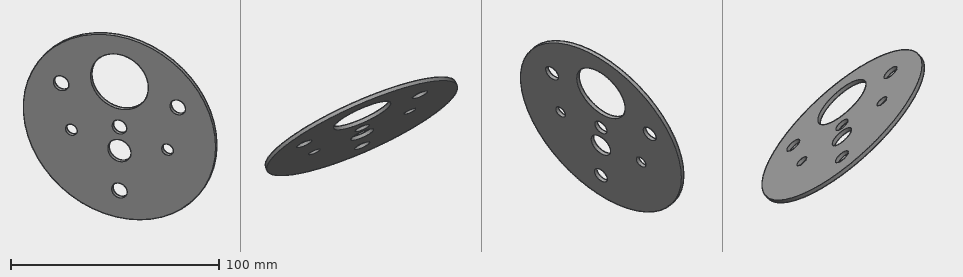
import cadquery as cq

disc_diameter = 100
thickness = 2

centre_hole_diameter = 7.5
window_diameter = 30
window_height = disc_diameter / 4
lower_hole_diameter = 12
lower_hole_drop = 13

mount_hole_diameter = 8
mount_circle_radius = 35
mount_hole_count = 3
first_mount_angle = -90

side_hole_diameter = 6
side_hole_offset = disc_diameter / 4
side_hole_drop = 7


def cut_holes(plate, diameter, centres):
    """Cut round through holes at the given (x, z) centres."""
    return plate.faces("<Y").workplane(origin=(0, 0, 0)).pushPoints(centres).hole(diameter)


plate = cq.Workplane("XZ").circle(disc_diameter / 2).extrude(thickness)

plate = cut_holes(plate, centre_hole_diameter, [(0, 0)])
plate = cut_holes(plate, window_diameter, [(0, window_height)])
plate = cut_holes(plate, lower_hole_diameter, [(0, -lower_hole_drop)])
plate = cut_holes(
    plate,
    side_hole_diameter,
    [(side * side_hole_offset, -side_hole_drop) for side in (-1, 1)],
)

result = (
    plate.faces("<Y")
    .workplane(origin=(0, 0, 0))
    .polarArray(mount_circle_radius, first_mount_angle, 360, mount_hole_count)
    .hole(mount_hole_diameter)
)